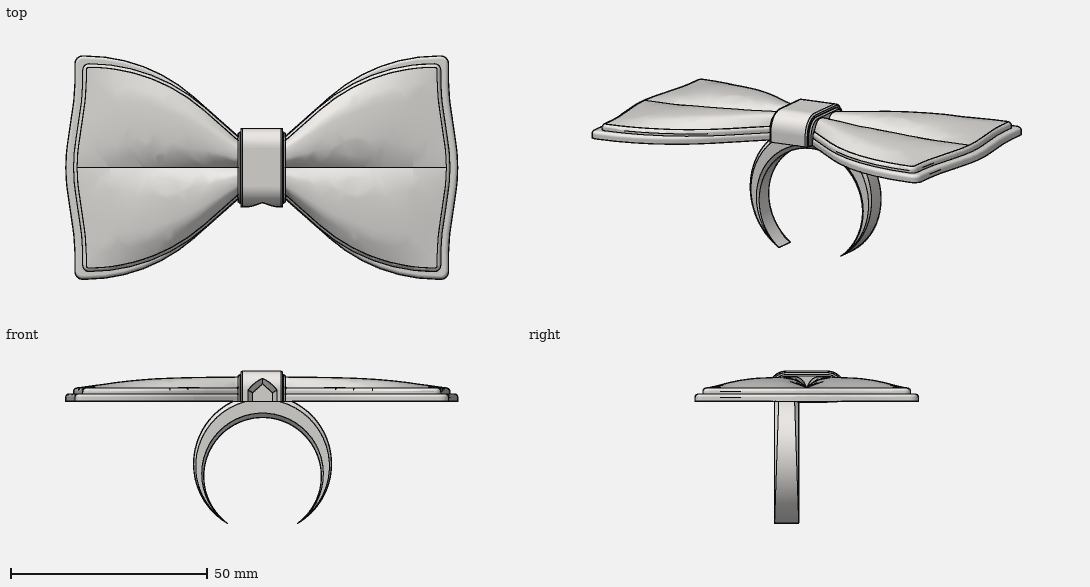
import cadquery as cq
import math

EDGE_SLOPE = math.radians(41.5)
NECK_END = 6.0
END_DROP = 2.35
END_DROP_HEIGHT = 22.0
END_CURVE_STEPS = 4

BASE_HALF_LENGTH = 50.0
BASE_HALF_HEIGHT = 28.5
BASE_NECK = 8.0
BASE_CREST_X = 45.0
BASE_THICKNESS = 1.9
BASE_ROUND = 0.9
BASE_CORNER = 2.0

STEP = 2.0
PILLOW_HALF_LENGTH = BASE_HALF_LENGTH - STEP
PILLOW_HALF_HEIGHT = BASE_HALF_HEIGHT - STEP
PILLOW_NECK = 7.8
PILLOW_CREST_X = 44.0
PILLOW_EDGE_TOP = 3.4
PILLOW_ROUND = 0.9
PILLOW_CORNER = 1.6

DOME_RISE = 2.8
DOME_REACH = 16.0
DOME_OVERLAP = 0.04
DOME_LIP = 0.05
DOME_STEPS_X = 24
DOME_STEPS_Y = 16

KNOT_HALF_LENGTH = 6.0
KNOT_BODY_HALF_LENGTH = 5.35
KNOT_HALF_WIDTH = 10.0
KNOT_TOP = 7.75
KNOT_ROUND = 5.0
KNOT_STEP = 0.9
PAD_HALF_WIDTH = 5.0
KNOT_CHAMFER = 0.4
KNOT_PAD = 0.25
POCKET_FLOOR_Y = -8.25
POCKET_FLOOR = (2.5, 2.2, 4.45)
POCKET_MOUTH = (3.7, 2.85, 8.0)

RING_X = 0.2
RING_FRONT_Y = POCKET_FLOOR_Y
RING_BACK_Y = -2.0
RING_OUTER_CROWN = 1.66
RING_INNER_CROWN = -4.15
RING_TIP_X = 8.95
RING_TIP_Z = -31.13
RING_BEVEL = 1.1
RING_TIP_BEVEL = 0.05


def end_x(half_length, y):
    """X of the left wing end at height y."""
    t = min(abs(y) / END_DROP_HEIGHT, 1.0)
    return -half_length + END_DROP * t * t * (3 - 2 * t)


def flank(half_height, neck, crest_x):
    """Radius of the top arc that is tangent to the straight flank, and the point where they join."""
    rise = half_height - neck
    run = (crest_x - NECK_END) * math.tan(EDGE_SLOPE)
    radius = (run - rise) / (1 / math.cos(EDGE_SLOPE) - 1)
    join_x = -crest_x + radius * math.sin(EDGE_SLOPE)
    join_y = half_height - radius * (1 - math.cos(EDGE_SLOPE))
    return radius, join_x, join_y


def edge_y(x, half_height, neck, crest_x):
    """Half height of the left wing at x."""
    radius, join_x, join_y = flank(half_height, neck, crest_x)
    if x < -crest_x:
        return half_height
    if x < join_x:
        return half_height - radius + math.sqrt(radius ** 2 - (x + crest_x) ** 2)
    return max(neck, join_y - (x - join_x) * math.tan(EDGE_SLOPE))


def mirrored(quarter):
    """Full bow from its upper left quarter."""
    half = quarter.union(quarter.mirror("XZ"))
    return half.union(half.mirror("YZ"))


def bow_quarter(half_length, half_height, neck, crest_x, corner, bottom, top):
    """Flat upper left quarter of a bow layer."""
    radius, join_x, join_y = flank(half_height, neck, crest_x)
    mid_x = -crest_x + radius * math.sin(EDGE_SLOPE / 2)
    mid_y = half_height - radius * (1 - math.cos(EDGE_SLOPE / 2))
    corner_x = end_x(half_length, half_height)
    end_heights = [END_DROP_HEIGHT * (1 - i / END_CURVE_STEPS) for i in range(1, END_CURVE_STEPS + 1)]
    end_points = [(end_x(half_length, y), y) for y in end_heights]
    quarter = (
        cq.Workplane("XY", origin=(0, 0, bottom))
        .lineTo(0, neck)
        .lineTo(-NECK_END, neck)
        .lineTo(join_x, join_y)
        .threePointArc((mid_x, mid_y), (-crest_x, half_height))
        .lineTo(corner_x, half_height)
        .lineTo(corner_x, END_DROP_HEIGHT)
        .spline(end_points, tangents=[(0, -1), (0, -1)], includeCurrent=True)
        .close()
        .extrude(top - bottom)
    )
    corner_edge = cq.selectors.NearestToPointSelector((corner_x, half_height, (bottom + top) / 2))
    return quarter.edges("|Z").edges(corner_edge).fillet(corner)


def make_base():
    """Thin bow-shaped base layer with a rounded upper edge."""
    quarter = bow_quarter(
        BASE_HALF_LENGTH, BASE_HALF_HEIGHT, BASE_NECK, BASE_CREST_X, BASE_CORNER, 0, BASE_THICKNESS
    )
    plate = mirrored(quarter).clean()
    return plate.faces(">Z").edges().fillet(BASE_ROUND)


def dome_point(i, j):
    """Point of the padded surface on one quarter: swelling in from the end, creased at Y = 0."""
    u = DOME_OVERLAP * (2 * j / DOME_STEPS_Y - 1) + j / DOME_STEPS_Y
    y_end = u * (PILLOW_HALF_HEIGHT - PILLOW_ROUND)
    start = end_x(PILLOW_HALF_LENGTH - PILLOW_ROUND, y_end)
    x = start + (i / DOME_STEPS_X * (1 + 2 * DOME_OVERLAP) - DOME_OVERLAP) * -start
    y = u * (edge_y(x, PILLOW_HALF_HEIGHT, PILLOW_NECK, PILLOW_CREST_X) - PILLOW_ROUND)
    swell = math.tanh((x - start) / DOME_REACH)
    roll = 1 - abs(2 * u - 1) ** 3
    return cq.Vector(x, y, PILLOW_EDGE_TOP + DOME_LIP + DOME_RISE * swell * roll)


def make_pillow():
    """Stepped-in layer with a rounded rim and padded domes, creased along Y = 0."""
    plate = mirrored(
        bow_quarter(
            PILLOW_HALF_LENGTH, PILLOW_HALF_HEIGHT, PILLOW_NECK, PILLOW_CREST_X, PILLOW_CORNER,
            BASE_THICKNESS, PILLOW_EDGE_TOP,
        )
    ).clean()
    plate = plate.faces(">Z").edges().fillet(PILLOW_ROUND)
    grid = [[dome_point(i, j) for j in range(DOME_STEPS_Y + 1)] for i in range(DOME_STEPS_X + 1)]
    surface = cq.Face.makeSplineApprox(grid, tol=0.01, minDeg=3, maxDeg=5)
    under_surface = cq.Workplane(cq.Solid.extrudeLinear(surface, cq.Vector(0, 0, -KNOT_TOP)))
    dome = bow_quarter(
        PILLOW_HALF_LENGTH - PILLOW_ROUND, PILLOW_HALF_HEIGHT - PILLOW_ROUND, PILLOW_NECK - PILLOW_ROUND,
        PILLOW_CREST_X, PILLOW_CORNER - PILLOW_ROUND, BASE_THICKNESS, KNOT_TOP,
    ).intersect(under_surface)
    return plate.union(mirrored(dome))


def knot_block(half_length, inset):
    """Bar along X with its two upper edges rounded."""
    half_width = KNOT_HALF_WIDTH - inset
    return (
        cq.Workplane("XY")
        .box(2 * half_length, 2 * half_width, KNOT_TOP - inset, centered=(True, True, False))
        .edges("|X and >Z")
        .fillet(KNOT_ROUND - inset)
    )


def house(y, half_width, eaves, apex):
    """House-shaped wire in the plane at y, centred over the ring."""
    right_side = [(half_width, -KNOT_PAD), (half_width, eaves)]
    left_side = [(-half_width, eaves), (-half_width, -KNOT_PAD)]
    points = right_side + [(0, apex)] + left_side
    return cq.Wire.makePolygon([cq.Vector(RING_X + x, y, z) for x, z in points], close=True)


def knot_bar(half_length, inset):
    """Knot block with chamfered end edges."""
    ends = knot_block(half_length, inset).faces("<X or >X").edges("not <Z")
    return ends.chamfer(KNOT_CHAMFER)


def make_knot(base, pillow):
    """Closed band around the neck, with end collars and a front pocket."""
    pad = (
        cq.Workplane("YZ", origin=(-KNOT_BODY_HALF_LENGTH, 0, 0))
        .moveTo(-KNOT_HALF_WIDTH, 0)
        .lineTo(-PAD_HALF_WIDTH, -KNOT_PAD)
        .lineTo(PAD_HALF_WIDTH, -KNOT_PAD)
        .lineTo(KNOT_HALF_WIDTH, 0)
        .close()
        .extrude(2 * KNOT_BODY_HALF_LENGTH)
    )
    pocket = cq.Solid.makeLoft(
        [house(POCKET_FLOOR_Y, *POCKET_FLOOR), house(-KNOT_HALF_WIDTH, *POCKET_MOUTH)], True
    )
    body = knot_bar(KNOT_BODY_HALF_LENGTH, 0)
    collar = knot_bar(KNOT_HALF_LENGTH, KNOT_STEP)
    return body.union(collar).union(pad).cut(cq.Workplane(pocket)).cut(base).cut(pillow)


def ring_cylinder(radius, z):
    width = RING_BACK_Y - RING_FRONT_Y
    return cq.Workplane(
        cq.Solid.makeCylinder(radius, width, cq.Vector(RING_X, RING_FRONT_Y, z), cq.Vector(0, 1, 0))
    )


def edge_cones(radius_at_face, z, growth):
    """Coaxial cones that bevel the two rims of a circle; they start at the flat faces of the ring."""
    half = (RING_BACK_Y - RING_FRONT_Y) / 2
    cones = []
    for face_y, direction in ((RING_FRONT_Y, 1), (RING_BACK_Y, -1)):
        cones.append(
            cq.Workplane(
                cq.Solid.makeCone(
                    radius_at_face, radius_at_face + growth * half, half,
                    cq.Vector(RING_X, face_y, z), cq.Vector(0, direction, 0),
                )
            )
        )
    return cones[0].union(cones[1])


def tip_circle(crown_z):
    """Radius and centre height of the circle with its crown at crown_z that passes through both tips."""
    drop = crown_z - RING_TIP_Z
    radius = (RING_TIP_X ** 2 + drop ** 2) / (2 * drop)
    return radius, crown_z - radius


def make_ring(knot):
    """Open crescent ring hanging under the bow."""
    outer_radius, outer_z = tip_circle(RING_OUTER_CROWN)
    inner_radius, inner_z = tip_circle(RING_INNER_CROWN)
    outer_face_radius, outer_face_z = tip_circle(RING_OUTER_CROWN - RING_BEVEL)
    inner_face_radius, inner_face_z = tip_circle(RING_INNER_CROWN + RING_BEVEL)
    outer = ring_cylinder(outer_radius, outer_z).intersect(
        edge_cones(outer_face_radius - RING_TIP_BEVEL, outer_face_z, 1)
    )
    inner = ring_cylinder(inner_radius, inner_z).union(
        edge_cones(inner_face_radius + RING_TIP_BEVEL, inner_face_z, -1)
    )
    above = cq.Workplane("XY").box(
        4 * outer_radius, 4 * outer_radius, outer_radius, centered=(True, True, False)
    )
    return outer.cut(inner).cut(above).cut(knot)


base = make_base()
pillow = make_pillow()
knot = make_knot(base, pillow)
ring = make_ring(knot)
result = cq.Compound.makeCompound([base.val(), pillow.val(), knot.val(), ring.val()])